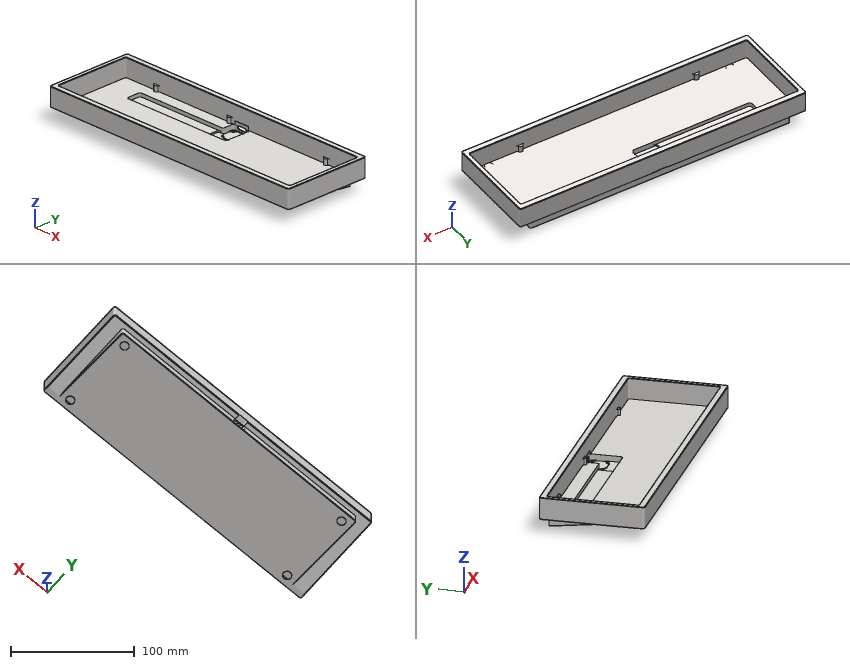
import cadquery as cq
import math

LENGTH = 275.5
WIDTH = 88.2
TRAY_HEIGHT = 19.3
END_WALL = 4.5
SIDE_WALL = 5.8
FLOOR = 1.0
CORNER_RADIUS = 2.0
CAVITY_RADIUS = 1.5
RIM_CHAMFER = 0.5
BASE_CHAMFER = 0.7

CAVITY_LENGTH = LENGTH - 2 * END_WALL
CAVITY_WIDTH = WIDTH - 2 * SIDE_WALL
CAVITY_BACK = CAVITY_WIDTH / 2

TOTAL_HEIGHT = 29.5
SLOPE = 7.5
WEDGE_LENGTH = 250.0
WEDGE_BACK = 39.5
WEDGE_RADIUS = 2.0
WEDGE_CHAMFER = 0.5
WEDGE_DROP = TOTAL_HEIGHT - TRAY_HEIGHT + WEDGE_CHAMFER * math.sin(math.radians(SLOPE))
SLOPE_START = WEDGE_BACK - WEDGE_DROP / math.tan(math.radians(SLOPE))
WEDGE_LAP = 2.8

FOOT_DIAMETER = 7.5
FOOT_DEPTH = 0.5
FOOT_END_INSET = 9.0
FOOT_INSET = 8.3

REST_RADIUS = 2.5
REST_FILLET = 1.0
REST_HEIGHT = 5.5
BACK_REST_X = (-97.8, -13.5, 97.8)
FRONT_REST_X = (-84.5, 84.5)

POCKET_RADIUS = 2.8
INNER_CORNER_RADIUS = 0.8
BOARD_LEFT = -9.5
BOARD_RIGHT = 9.5
WALL_RELIEF = 0.3
WALL_RELIEF_HEIGHT = 3.3
BAY_LEFT = -14.5
POCKET_FRONT = 11.3
POCKET_DEPTH = 5.0
POCKET_Z = FLOOR - POCKET_DEPTH
TROUGH_LEFT = -105.0
TROUGH_BACK = 26.5
TROUGH_DEPTH = 3.5

RELIEF_FRONT = 21.5
RELIEF_DEPTH = 0.5
RELIEF_CORNER = 5.0
SCREW_DIAMETER = 1.63
SCREW_RECESS_DIAMETER = 2.5
SCREW_DEPTH = 2.8
SCREW_PITCH_X = 13.2
SCREW_PITCH_Y = 12.0
SCREW_CENTER_Y = 29.8

PORT_WIDTH = 9.6
PORT_HEIGHT = 3.3
PORT_Z = -0.5


def block(x_min, x_max, y_min, y_max, z_min, z_max):
    """Box given by its limits along each axis."""
    size = (x_max - x_min, y_max - y_min, z_max - z_min)
    return cq.Workplane("XY").box(*size, centered=False).translate((x_min, y_min, z_min))


def make_tray():
    outer = (
        cq.Workplane("XY")
        .box(LENGTH, WIDTH, TRAY_HEIGHT, centered=(True, True, False))
        .edges("|Z").fillet(CORNER_RADIUS)
        .faces("<Z").chamfer(BASE_CHAMFER)
    )
    cavity = (
        cq.Workplane("XY", origin=(0, 0, FLOOR))
        .rect(CAVITY_LENGTH, CAVITY_WIDTH)
        .extrude(TRAY_HEIGHT - FLOOR)
        .edges("|Z").fillet(CAVITY_RADIUS)
    )
    return outer.cut(cavity).faces(">Z").chamfer(RIM_CHAMFER)


def slope_height(y):
    """Height of the sloping underside at depth y."""
    return (SLOPE_START - y) * math.tan(math.radians(SLOPE))


def make_wedge():
    """Wedge that reaches up into the tray floor and laps into its front edge."""
    front = SLOPE_START - WEDGE_LAP
    wedge = (
        cq.Workplane("YZ", origin=(-WEDGE_LENGTH / 2, 0, 0))
        .moveTo(front, slope_height(front))
        .lineTo(WEDGE_BACK, slope_height(WEDGE_BACK))
        .lineTo(WEDGE_BACK, FLOOR)
        .lineTo(front, FLOOR)
        .close()
        .extrude(WEDGE_LENGTH)
    )
    return wedge.edges("|Z").fillet(WEDGE_RADIUS).faces("<Z").chamfer(WEDGE_CHAMFER)


def front_trim():
    """Material of the tray that lies below the sloping plane in front of the wedge."""
    front = -WIDTH / 2
    return (
        cq.Workplane("YZ", origin=(-LENGTH / 2, 0, 0))
        .polyline([(SLOPE_START, 0), (front, slope_height(front)), (front, 0)])
        .close()
        .extrude(LENGTH)
    )


def foot_recesses():
    foot_x = WEDGE_LENGTH / 2 - FOOT_END_INSET
    recess = cq.Workplane("XY").circle(FOOT_DIAMETER / 2).extrude(FOOT_DEPTH)
    recess = recess.rotate((0, 0, 0), (1, 0, 0), -SLOPE)
    recesses = cq.Workplane("XY")
    for x in (-foot_x, foot_x):
        for y in (FOOT_INSET - WIDTH / 2, WEDGE_BACK - FOOT_INSET):
            recesses = recesses.add(recess.translate((x, y, slope_height(y))))
    return recesses.combine()


def wall_rest():
    """Round rest standing on the plane y = 0 toward -y, blended into it by concave fillets."""
    blend_x = math.sqrt((REST_RADIUS + REST_FILLET) ** 2 - REST_FILLET ** 2)
    core = cq.Workplane("XY").circle(REST_RADIUS).extrude(REST_HEIGHT)
    root = block(-blend_x, blend_x, -REST_FILLET, REST_FILLET, 0, REST_HEIGHT)
    blends = (
        cq.Workplane("XY")
        .pushPoints([(-blend_x, -REST_FILLET), (blend_x, -REST_FILLET)])
        .circle(REST_FILLET)
        .extrude(REST_HEIGHT)
    )
    return core.union(root.cut(blends))


def wall_rests():
    back_rest = wall_rest().translate((0, CAVITY_BACK, FLOOR))
    front_rest = back_rest.mirror("XZ")
    rests = cq.Workplane("XY")
    for x in BACK_REST_X:
        rests = rests.add(back_rest.translate((x, 0, 0)))
    for x in FRONT_REST_X:
        rests = rests.add(front_rest.translate((x, 0, 0)))
    return rests.combine()


def board_pocket():
    """L-shaped pocket whose board end also bites slightly into the back wall."""
    board_back = CAVITY_BACK + WALL_RELIEF
    board_top = FLOOR + WALL_RELIEF_HEIGHT
    trough_z = FLOOR - TROUGH_DEPTH
    board = block(BOARD_LEFT, BOARD_RIGHT, POCKET_FRONT, board_back, POCKET_Z, board_top)
    bay = block(BAY_LEFT, BOARD_RIGHT, POCKET_FRONT, TROUGH_BACK, POCKET_Z, board_top)
    trough = block(TROUGH_LEFT, BOARD_RIGHT, POCKET_FRONT, TROUGH_BACK, trough_z, board_top)
    pocket = board.edges("|Z").fillet(POCKET_RADIUS)
    for part in (bay, trough):
        pocket = pocket.union(part.edges("|Z").fillet(POCKET_RADIUS))
    inner_corner = cq.selectors.NearestToPointSelector((BOARD_LEFT, TROUGH_BACK, FLOOR))
    return pocket.edges("|Z").edges(inner_corner).fillet(INNER_CORNER_RADIUS)


def board_relief():
    relief = block(BOARD_LEFT, BOARD_RIGHT, RELIEF_FRONT, CAVITY_BACK, POCKET_Z - RELIEF_DEPTH, POCKET_Z)
    return relief.edges("|Z").chamfer(RELIEF_CORNER)


def screw_holes():
    """Screw holes with a shallow recess that opens into the board relief."""
    centers = (
        cq.Workplane("XY", origin=(0, SCREW_CENTER_Y, POCKET_Z))
        .rect(SCREW_PITCH_X, SCREW_PITCH_Y, forConstruction=True)
        .vertices()
    )
    holes = centers.circle(SCREW_DIAMETER / 2).extrude(-SCREW_DEPTH)
    recesses = centers.circle(SCREW_RECESS_DIAMETER / 2).extrude(-RELIEF_DEPTH)
    return holes.union(recesses)


def port_opening():
    return (
        cq.Workplane("XZ", origin=(0, CAVITY_BACK, PORT_Z))
        .slot2D(PORT_WIDTH, PORT_HEIGHT)
        .extrude(-SIDE_WALL)
    )


result = make_tray().cut(front_trim()).union(make_wedge()).union(wall_rests())
for cutter in (foot_recesses(), board_pocket(), board_relief(), screw_holes(), port_opening()):
    result = result.cut(cutter)